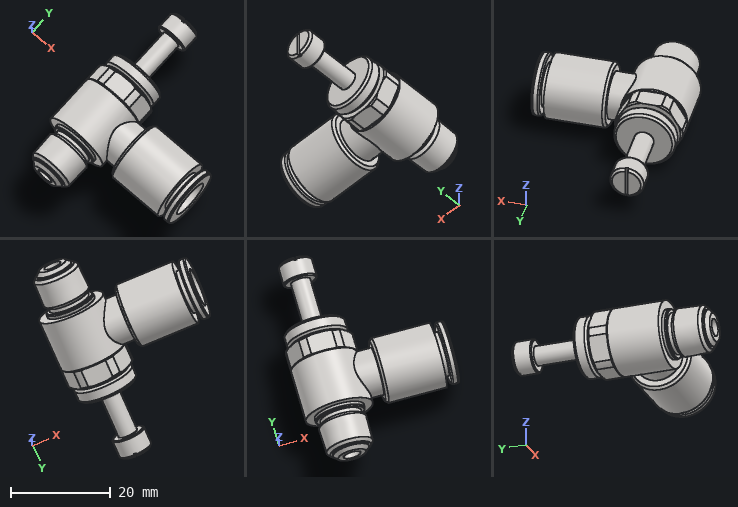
import cadquery as cq
import math


tip_radius = 2.95
tip_cone = 0.8
pilot_radius = 3.8
pilot_end = 1.15
thread_tip_radius = 4.25
thread_start = 1.83
thread_start_radius = 4.85
thread_end = 7.0
thread_end_radius = 4.95
undercut_radius = 4.3
undercut_start = thread_end + (thread_end_radius - undercut_radius)
undercut_end = 8.55

collar_radius = 5.2
collar_edge_radius = 5.15
collar_face_radius = 4.95
collar_edge_height = 0.3
collar_slope_height = 0.55

body_start = 9.47
body_end = 20.7
body_radius = 7.0
body_chamfer = 0.25
hex_across_flats = 12.95
hex_across_corners = hex_across_flats / math.cos(math.pi / 6)
hex_end = 24.7
hex_chamfer_height = 0.3
hex_face_radius = 6.63

knob_neck_radius = 5.0
knob_start = 25.2
knob_end = 28.2
knob_radius = 6.35
knob_chamfer = 0.5

stem_radius = 2.05
head_start = 38.2
head_end = 42.5
head_radius = 3.5
head_chamfer = 0.5
head_lower_chamfer = 0.25
slot_width = 0.5
slot_depth = 0.7

branch_y = 15.7
branch_radius = 4.93
sleeve_start = 9.65
sleeve_end = 22.3
sleeve_radius = 6.75
sleeve_chamfer = 0.55
release_neck_radius = 4.6
release_start = 23.35
release_end = 24.98
release_radius = 6.45
release_inner_chamfer = 0.35
release_outer_depth = 0.13
release_outer_length = 0.35

stud_bore_radius = 1.8
tube_socket_radius = 4.0


def turned_on_y(profile):
    """Revolve (radius, y) points, closed along the Y axis."""
    points = [(0, profile[0][1])] + profile + [(0, profile[-1][1])]
    return cq.Workplane("XY").polyline(points).close().revolve(360, (0, 0), (0, 1))


def turned_on_branch(profile):
    """Revolve (x, radius) points, closed along the branch axis."""
    points = [(profile[0][0], 0)] + profile + [(profile[-1][0], 0)]
    outline = cq.Workplane("XY", origin=(0, branch_y, 0)).polyline(points).close()
    return outline.revolve(360, (0, 0), (1, 0))


def make_stud():
    return turned_on_y([
        (tip_radius, 0),
        (pilot_radius, tip_cone),
        (pilot_radius, pilot_end),
        (thread_tip_radius, pilot_end),
        (thread_start_radius, thread_start),
        (thread_end_radius, thread_end),
        (undercut_radius, undercut_start),
        (undercut_radius, undercut_end),
        (collar_face_radius, undercut_end),
        (collar_edge_radius, undercut_end + collar_edge_height),
        (collar_radius, undercut_end + collar_slope_height),
        (collar_radius, body_start),
    ])


def make_body():
    return turned_on_y([
        (body_radius, body_start),
        (body_radius, body_end - body_chamfer),
        (body_radius - body_chamfer, body_end),
    ])


def make_hexagon():
    """Hexagon with flats at +Z and -Z, its corners turned down to the body radius."""
    prism = (
        cq.Workplane("XZ", origin=(0, body_end, 0))
        .polygon(6, hex_across_corners)
        .extrude(body_end - hex_end)
    )
    envelope = turned_on_y([
        (body_radius, body_end),
        (body_radius, hex_end - hex_chamfer_height),
        (hex_face_radius, hex_end),
    ])
    return prism.intersect(envelope)


def make_knob():
    return turned_on_y([
        (knob_neck_radius, hex_end),
        (knob_neck_radius, knob_start),
        (knob_radius - knob_chamfer, knob_start),
        (knob_radius, knob_start + knob_chamfer),
        (knob_radius, knob_end - knob_chamfer),
        (knob_radius - knob_chamfer, knob_end),
    ])


def make_screw():
    screw = turned_on_y([
        (stem_radius, knob_end),
        (stem_radius, head_start),
        (head_radius - head_lower_chamfer, head_start),
        (head_radius, head_start + head_lower_chamfer),
        (head_radius, head_end - head_chamfer),
        (head_radius - head_chamfer, head_end),
    ])
    slot = cq.Workplane("XY").box(slot_width, 2 * slot_depth, 2 * head_radius)
    return screw.cut(slot.translate((0, head_end, 0)))


def make_branch():
    return turned_on_branch([
        (0, branch_radius),
        (sleeve_start, branch_radius),
        (sleeve_start, sleeve_radius - sleeve_chamfer),
        (sleeve_start + sleeve_chamfer, sleeve_radius),
        (sleeve_end, sleeve_radius),
        (sleeve_end, release_neck_radius),
        (release_start, release_neck_radius),
        (release_start, release_radius - release_inner_chamfer),
        (release_start + release_inner_chamfer, release_radius),
        (release_end - release_outer_length, release_radius),
        (release_end, release_radius - release_outer_depth),
    ])


def make_passage():
    """Stud bore leading into a tube socket with a ball-shaped inner end."""
    stud_bore = cq.Workplane("XZ").circle(stud_bore_radius).extrude(-branch_y)
    ball_bulge = tube_socket_radius * math.sqrt(0.5)
    tube_socket = (
        cq.Workplane("XY", origin=(0, branch_y, 0))
        .moveTo(-tube_socket_radius, 0)
        .threePointArc((-ball_bulge, ball_bulge), (0, tube_socket_radius))
        .lineTo(release_end, tube_socket_radius)
        .lineTo(release_end, 0)
        .close()
        .revolve(360, (0, 0), (1, 0))
    )
    return stud_bore.union(tube_socket)


solid_part = make_stud()
for section in (make_body(), make_hexagon(), make_knob(), make_screw(), make_branch()):
    solid_part = solid_part.union(section)

result = solid_part.cut(make_passage())